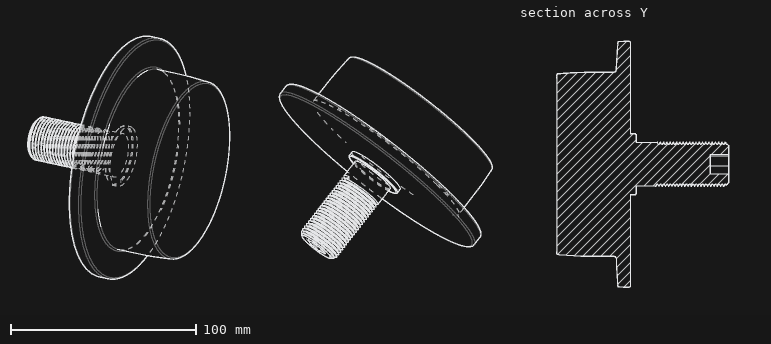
import cadquery as cq
import math


flange_diameter = 133.0
flange_rim_width = 7.0
flange_edge_radius = 1.0
tread_diameter = 100.0
wheel_width = 40.0
flange_taper = 1.0
tread_root_radius = 1.0
tread_edge_radius = 1.0
crown_radius = 250.0
crown_peak = 17.0

collar_diameter = 33.0
collar_thickness = 3.0
collar_chamfer = 0.5

axle_diameter = 24.0
axle_length = 50.0
axle_end_chamfer = 2.0

thread_pitch = 1.75
flank_angle = 30.0
thread_length = 39.3
thread_end_angle = 43.0
crest_flat = 0.1
root_flat = 0.25
thread_depth = (thread_pitch - crest_flat - root_flat) / 2 / math.tan(math.radians(flank_angle))
cutter_overlap = 0.04

stock_allowance = 6.0
trim_clearance = 2.0

socket_across_flats = 10.0
socket_depth = 10.0
socket_turn = 9.0

axle_radius = axle_diameter / 2
collar_face = -collar_thickness
axle_end = collar_face - axle_length
thread_end = axle_end + thread_length


def edges_at(x):
    """Selector for the circular edges of the wheel centred at one place along the axle."""
    slack = 0.1
    return cq.selectors.BoxSelector((x - slack, -slack, -slack), (x + slack, slack, slack))


def make_wheel():
    """Disc with a tapered flange and a crowned tread."""
    flange_radius = flange_diameter / 2
    tread_radius = tread_diameter / 2
    tread_start = flange_rim_width + flange_taper
    tread_middle = (tread_start + wheel_width) / 2

    def crown(x):
        drop = crown_radius - math.sqrt(crown_radius ** 2 - (x - crown_peak) ** 2)
        return (x, tread_radius - drop)

    wheel = (
        cq.Workplane("XY")
        .lineTo(0, flange_radius)
        .lineTo(flange_rim_width, flange_radius)
        .lineTo(*crown(tread_start))
        .threePointArc(crown(tread_middle), crown(wheel_width))
        .lineTo(wheel_width, 0)
        .close()
        .revolve(360, (0, 0, 0), (1, 0, 0))
    )
    wheel = wheel.edges(edges_at(0)).fillet(flange_edge_radius)
    wheel = wheel.edges(edges_at(flange_rim_width)).fillet(flange_edge_radius)
    wheel = wheel.edges(edges_at(tread_start)).fillet(tread_root_radius)
    return wheel.edges(edges_at(wheel_width)).fillet(tread_edge_radius)


def make_collar():
    return (
        cq.Workplane("YZ")
        .circle(collar_diameter / 2)
        .extrude(-collar_thickness)
        .faces("<X")
        .chamfer(collar_chamfer)
    )


def make_thread_cutter():
    """Helical vee groove of whole turns, starting in the stock beyond the axle's free end and ending on +Z."""
    turns = math.ceil(thread_length / thread_pitch) + 1
    groove_length = turns * thread_pitch
    groove_start = thread_end - groove_length
    path = cq.Wire.makeHelix(
        thread_pitch,
        groove_length,
        axle_radius,
        center=cq.Vector(groove_start, 0, 0),
        dir=cq.Vector(1, 0, 0),
    )
    plane = cq.Plane(origin=(groove_start, 0, axle_radius), xDir=(1, 0, 0), normal=(0, -1, 0))
    root_half = root_flat / 2
    mouth_half = root_half + (thread_depth + cutter_overlap) * math.tan(math.radians(flank_angle))
    return (
        cq.Workplane(plane)
        .moveTo(-mouth_half, cutter_overlap)
        .lineTo(-root_half, -thread_depth)
        .lineTo(root_half, -thread_depth)
        .lineTo(mouth_half, cutter_overlap)
        .close()
        .sweep(cq.Workplane(obj=path), isFrenet=True)
    )


def make_end_trimmer():
    """Solid that removes the spare stock and bevels the axle's free end at 45 degrees."""
    stock_end = axle_end - stock_allowance - trim_clearance
    outer_radius = axle_radius + trim_clearance
    return (
        cq.Workplane("XY")
        .moveTo(stock_end, 0)
        .lineTo(stock_end, outer_radius)
        .lineTo(axle_end + axle_end_chamfer + trim_clearance, outer_radius)
        .lineTo(axle_end, axle_radius - axle_end_chamfer)
        .lineTo(axle_end, 0)
        .close()
        .revolve(360, (0, 0, 0), (1, 0, 0))
    )


def make_axle():
    """Overlong rod, threaded first and then trimmed so that the first turns run out on the bevel."""
    rod = (
        cq.Workplane("YZ", origin=(collar_face, 0, 0))
        .circle(axle_radius)
        .extrude(-(axle_length + stock_allowance))
    )
    threaded = rod.cut(make_thread_cutter())
    groove_end_angle = 90
    threaded = threaded.rotate((0, 0, 0), (1, 0, 0), thread_end_angle - groove_end_angle)
    return threaded.cut(make_end_trimmer())


def make_socket():
    across_corners = socket_across_flats / math.cos(math.radians(30))
    return (
        cq.Workplane("YZ", origin=(axle_end, 0, 0))
        .polygon(6, across_corners)
        .extrude(socket_depth)
        .rotate((0, 0, 0), (1, 0, 0), socket_turn)
    )


result = make_wheel().union(make_collar()).union(make_axle()).cut(make_socket())